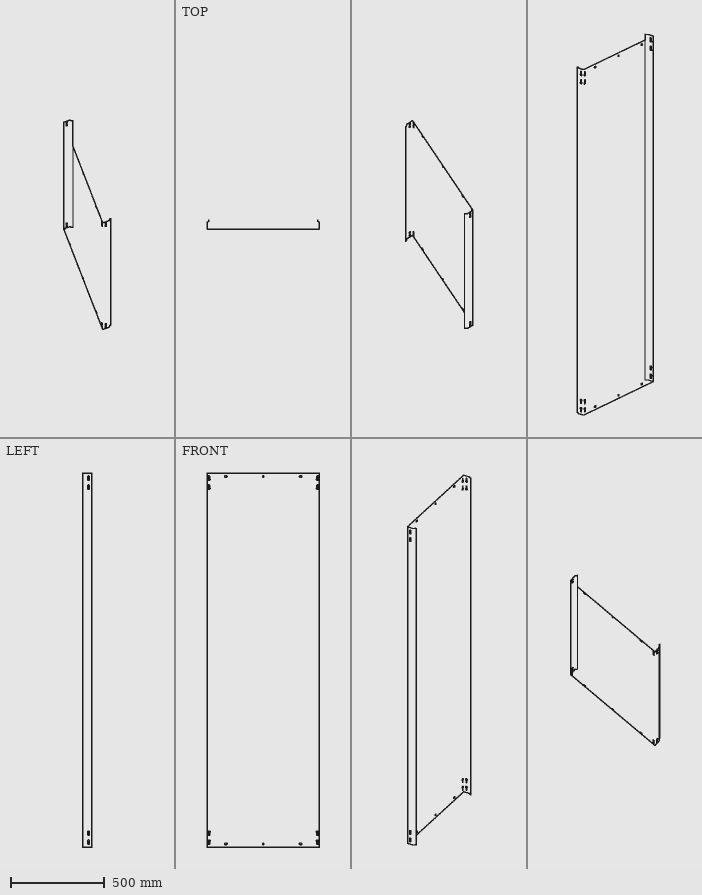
import cadquery as cq
import math

width = 600.0
depth = 50.0
height = 2000.0

sheet = 1.5
outside_bend = 3.0
inside_bend = outside_bend - sheet

lip_step_start = 38.0
lip_inset = 8.0
lip_bend_angle = 50

keyhole_first_depth = 35.0
keyhole_pitch = 48.0
keyhole_head = 10.0
keyhole_neck = 5.0
keyhole_rise = 15.0
front_keyhole_edge_gap = 11.0
side_keyhole_y = 18.0

edge_hole_gap = 18.0
edge_hole_size = 8.0
edge_slot_length = 15.0
edge_slot_x = 200.0

half_width = width / 2
half_height = height / 2


def round_bends(body, corners, radius):
    """Round the upright edges that pass through the given plan corners."""
    for x, y in corners:
        edge = cq.selectors.NearestToPointSelector((x, y, 0))
        body = body.edges(edge).fillet(radius)
    return body


def half_channel():
    """Right half of the bent sheet: front sheet, side flange and stepped rear lip."""
    bend = math.radians(lip_bend_angle)
    lip_step_end = lip_step_start + lip_inset / math.tan(bend)
    inner_shift = sheet * math.tan(bend / 2)
    flange_inner_x = half_width - sheet
    lip_outer_x = half_width - lip_inset
    lip_inner_x = lip_outer_x - sheet

    front_outer = (half_width, 0)
    front_inner = (flange_inner_x, sheet)
    step_outer = (half_width, lip_step_start)
    step_inner = (flange_inner_x, lip_step_start - inner_shift)
    lip_outer = (lip_outer_x, lip_step_end)
    lip_inner = (lip_inner_x, lip_step_end - inner_shift)

    outer_line = [(0, 0), front_outer, step_outer, lip_outer, (lip_outer_x, depth)]
    inner_line = [(lip_inner_x, depth), lip_inner, step_inner, front_inner, (0, sheet)]
    body = cq.Workplane("XY").polyline(outer_line + inner_line).close().extrude(half_height, both=True)

    body = round_bends(body, [front_outer, step_outer, lip_inner], outside_bend)
    return round_bends(body, [front_inner, step_inner, lip_outer], inside_bend)


def keyhole(plane, across, z, end, length):
    """Keyhole cutter: a round head at height z and a round-ended neck rising towards the panel end."""
    head = cq.Workplane(plane).center(across, z).circle(keyhole_head / 2)
    neck = cq.Workplane(plane).center(across, z + end * keyhole_rise / 2)
    neck = neck.slot2D(keyhole_rise + keyhole_neck, keyhole_neck, 90)
    return head.extrude(length, both=True).union(neck.extrude(length, both=True))


def cut_keyholes(body):
    """Two rows of keyholes at each end, through the front sheet and through both flanges."""
    front_x = half_width - front_keyhole_edge_gap
    for end in (-1, 1):
        for row in range(2):
            z = end * (half_height - keyhole_first_depth - row * keyhole_pitch)
            body = body.cut(keyhole("XZ", -front_x, z, end, sheet))
            body = body.cut(keyhole("XZ", front_x, z, end, sheet))
            body = body.cut(keyhole("YZ", side_keyhole_y, z, end, half_width))
    return body


def cut_edge_holes(body):
    """Round hole at mid width with a slot on each side of it, along the top and bottom edges."""
    hole_z = half_height - edge_hole_gap
    hole_points = [(0, z) for z in (-hole_z, hole_z)]
    slot_points = [(x, z) for x in (-edge_slot_x, edge_slot_x) for z in (-hole_z, hole_z)]
    holes = cq.Workplane("XZ").pushPoints(hole_points).circle(edge_hole_size / 2)
    slots = cq.Workplane("XZ").pushPoints(slot_points).slot2D(edge_slot_length, edge_hole_size)
    return body.cut(holes.extrude(sheet, both=True)).cut(slots.extrude(sheet, both=True))


right_half = half_channel()
channel = right_half.union(right_half.mirror("YZ")).clean()
result = cut_edge_holes(cut_keyholes(channel))